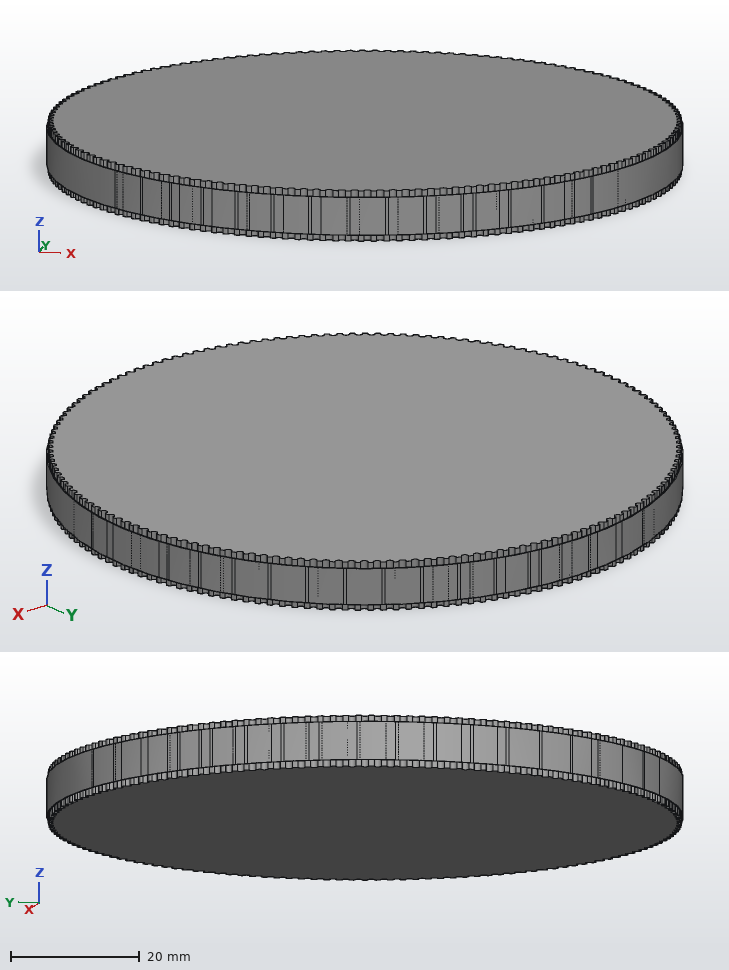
import cadquery as cq
import math

thickness = 8.0
sleeve_diameter = 98.7
sleeve_wall = 0.26
bare_tooth_height = 1.0
tooth_count = 155
groove_depth = 0.75
groove_radius = 0.56
tip_fillet = 0.2
first_groove_angle = -90.0

sleeve_radius = sleeve_diameter / 2
sleeve_height = thickness - 2 * bare_tooth_height
tip_radius = sleeve_radius - sleeve_wall
root_radius = tip_radius - groove_depth
groove_center = root_radius + groove_radius
pitch_angle = 360.0 / tooth_count

fillet_sideways = groove_radius + tip_fillet
fillet_radial = math.sqrt((tip_radius - tip_fillet) ** 2 - fillet_sideways ** 2)
fillet_tip_turn = math.atan2(fillet_sideways, fillet_radial)
fillet_side_turn = -math.pi / 2
fillet_middle_turn = (fillet_tip_turn + fillet_side_turn) / 2


def place(radial, sideways, angle):
    """X, Y of a point given along and across the radius at an angle in degrees."""
    turn = math.radians(angle)
    x = radial * math.cos(turn) - sideways * math.sin(turn)
    y = radial * math.sin(turn) + sideways * math.cos(turn)
    return (x, y)


def fillet_point(turn, side, angle):
    """Point on a tip fillet; side is -1 or 1 for the two sides of the groove."""
    radial = fillet_radial + tip_fillet * math.cos(turn)
    sideways = fillet_sideways + tip_fillet * math.sin(turn)
    return place(radial, side * sideways, angle)


def add_groove_and_tip(outline, angle):
    """Draw one groove with its two tip fillets, then the tooth tip up to the next groove."""
    next_angle = angle + pitch_angle
    outline = outline.threePointArc(
        fillet_point(fillet_middle_turn, -1, angle),
        fillet_point(fillet_side_turn, -1, angle),
    )
    outline = outline.lineTo(*place(groove_center, -groove_radius, angle))
    outline = outline.threePointArc(
        place(root_radius, 0, angle),
        place(groove_center, groove_radius, angle),
    )
    outline = outline.lineTo(*fillet_point(fillet_side_turn, 1, angle))
    outline = outline.threePointArc(
        fillet_point(fillet_middle_turn, 1, angle),
        fillet_point(fillet_tip_turn, 1, angle),
    )
    return outline.threePointArc(
        place(tip_radius, 0, angle + pitch_angle / 2),
        fillet_point(fillet_tip_turn, -1, next_angle),
    )


def toothed_disc():
    outline = cq.Workplane("XY").moveTo(*fillet_point(fillet_tip_turn, -1, first_groove_angle))
    for index in range(tooth_count):
        outline = add_groove_and_tip(outline, first_groove_angle + index * pitch_angle)
    return outline.close().extrude(thickness)


def sleeve():
    """Thin ring that sits on the tooth tips and closes the grooves from outside."""
    base = cq.Workplane("XY").workplane(offset=bare_tooth_height)
    return base.circle(sleeve_radius).circle(tip_radius).extrude(sleeve_height)


result = toothed_disc().union(sleeve())